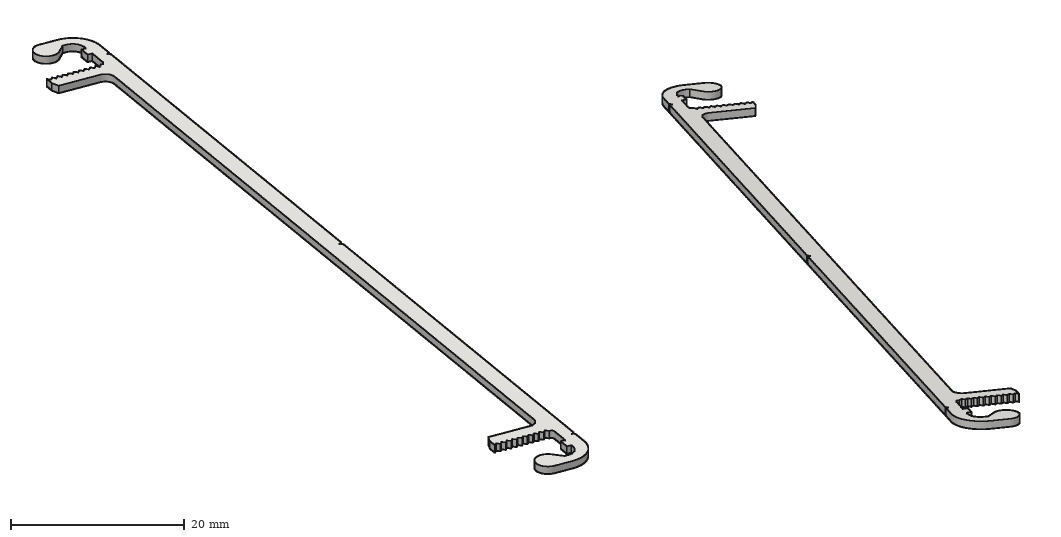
import cadquery as cq
import math

length = 120.0
thickness = 1.0
height = 9.5
half_length = length / 2

plate_depth = 2.4
rim_depth = 1.8

hook_wall = 1.5
hook_outer_radius = 3.6
hook_inner_radius = 1.5
bulb_radius = 1.5
hook_bottom = 7.5
stop_start = 3.5
stop_width = 1.5
stop_drop = 0.6

leg_outer = 7.8
leg_inner = 10.0
leg_fillet = 1.2
tip_slant_width = 1.0
tip_slant_rise = 0.4
leg_top_fillet = 0.4
tooth_pitch = 0.7
tooth_depth = tooth_pitch / 2
tooth_count = 10

groove_depth = 0.4
groove_width = 0.4
groove_inset = 5.9


def half_profile():
    """Right half of the cross-section, with the top edge on y = 0."""
    diagonal = math.sqrt(0.5)
    wall_x = half_length - hook_wall
    leg_x = half_length - leg_inner
    tip_x = half_length - leg_outer
    root_x = tip_x - tooth_depth
    stop_x = half_length - stop_start

    pocket_x = wall_x - hook_inner_radius
    pocket_y = -rim_depth - hook_inner_radius
    bulb_x = half_length - bulb_radius
    bulb_y = -hook_bottom + bulb_radius
    neck_x = bulb_x - bulb_radius * diagonal
    neck_y = bulb_y + bulb_radius * diagonal
    wall_end_y = neck_y + (wall_x - neck_x)

    outline = (
        cq.Workplane("XY")
        .moveTo(0, 0)
        .lineTo(half_length - hook_outer_radius, 0)
        .radiusArc((half_length, -hook_outer_radius), hook_outer_radius)
        .lineTo(half_length, bulb_y)
        .threePointArc((bulb_x, -hook_bottom), (neck_x, neck_y))
        .lineTo(wall_x, wall_end_y)
        .lineTo(wall_x, pocket_y)
        .threePointArc(
            (pocket_x + hook_inner_radius * diagonal, pocket_y + hook_inner_radius * diagonal),
            (pocket_x, -rim_depth),
        )
        .lineTo(stop_x, -rim_depth)
        .lineTo(stop_x, -rim_depth - stop_drop)
        .lineTo(stop_x - stop_width, -rim_depth - stop_drop)
        .lineTo(stop_x - stop_width, -rim_depth)
        .lineTo(tip_x + leg_top_fillet, -rim_depth)
        .radiusArc((tip_x, -rim_depth - leg_top_fillet), -leg_top_fillet)
    )

    teeth_top = -height + tooth_count * tooth_pitch
    outline = outline.lineTo(tip_x, teeth_top)
    for tooth in range(1, tooth_count + 1):
        tip_y = teeth_top - tooth * tooth_pitch
        outline = outline.lineTo(root_x, tip_y + tooth_pitch / 2)
        outline = outline.lineTo(tip_x, tip_y)

    return (
        outline.lineTo(leg_x + tip_slant_width, -height)
        .lineTo(leg_x, -height + tip_slant_rise)
        .lineTo(leg_x, -plate_depth - leg_fillet)
        .radiusArc((leg_x - leg_fillet, -plate_depth), -leg_fillet)
        .lineTo(0, -plate_depth)
        .close()
    )


def groove(x):
    """V-shaped cutter for the top edge."""
    return (
        cq.Workplane("XY")
        .moveTo(x - groove_width / 2, 0)
        .lineTo(x, -groove_depth)
        .lineTo(x + groove_width / 2, 0)
        .close()
        .extrude(thickness)
    )


half = half_profile().extrude(thickness)
result = half.union(half.mirror("YZ")).clean()

groove_end = half_length - groove_inset
for groove_x in (-groove_end, 0, groove_end):
    result = result.cut(groove(groove_x))